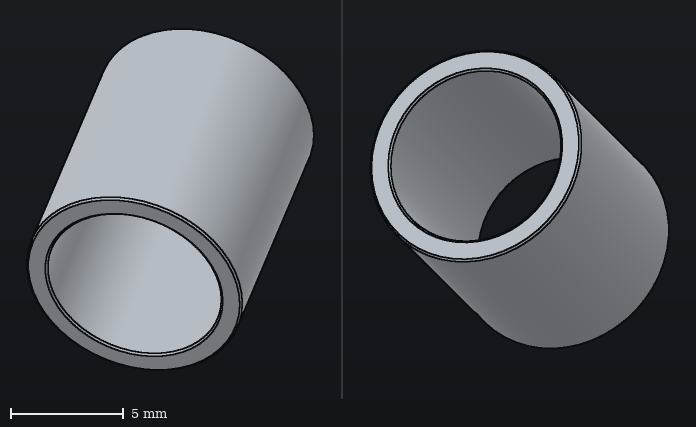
import cadquery as cq

length = 12.0
outer_diameter = 9.95
bore_diameter = 8.0
edge_chamfer = 0.1

tube = (
    cq.Workplane("XZ", origin=(0, length / 2, 0))
    .circle(outer_diameter / 2)
    .circle(bore_diameter / 2)
    .extrude(length)
)

result = tube.faces("<Y or >Y").edges().chamfer(edge_chamfer)